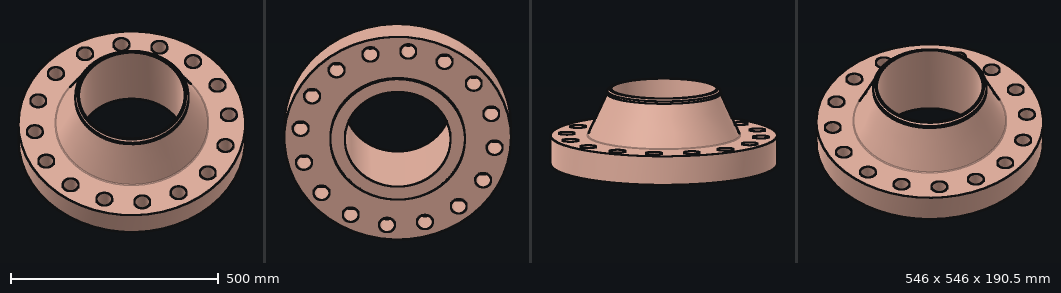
import cadquery as cq

flange_diameter = 546.0
flange_thickness = 70.5
raised_face_diameter = 324.5
raised_face_height = 6.0

overall_height = 190.5
hub_base_diameter = 367.0
hub_root_fillet = 3.0
neck_diameter = 273.0
neck_land_height = 6.0
bevel_height = 5.5
bevel_inset = 6.0

bore_diameter = 254.5
bolt_count = 16
bolt_circle_diameter = 469.5
bolt_hole_diameter = 38.0

flange_bottom = raised_face_height
flange_top = flange_bottom + flange_thickness
bevel_start = overall_height - bevel_height
hub_top = bevel_start - neck_land_height


def flange_body():
    """Solid of revolution: raised face, plate, tapered hub and bevelled neck."""
    face_radius = raised_face_diameter / 2
    flange_radius = flange_diameter / 2
    hub_radius = hub_base_diameter / 2
    neck_radius = neck_diameter / 2
    profile = (
        cq.Workplane("XZ")
        .polyline([
            (0, 0),
            (face_radius, 0),
            (face_radius, flange_bottom),
            (flange_radius, flange_bottom),
            (flange_radius, flange_top),
            (hub_radius, flange_top),
            (neck_radius, hub_top),
            (neck_radius, bevel_start),
            (neck_radius - bevel_inset, overall_height),
            (0, overall_height),
        ])
        .close()
    )
    return profile.revolve(360, (0, 0, 0), (0, 1, 0))


def round_hub_root(body):
    """Fillet the circle where the hub meets the top of the plate."""
    point_on_plate_top = (0, bolt_circle_diameter / 2, flange_top)
    plate_top = body.faces(cq.selectors.NearestToPointSelector(point_on_plate_top))
    hub_root = plate_top.edges(cq.selectors.RadiusNthSelector(0))
    return hub_root.fillet(hub_root_fillet)


def cut_bore(body):
    """Cut the central bore through the full height."""
    bore = cq.Workplane("XY").circle(bore_diameter / 2).extrude(overall_height)
    return body.cut(bore)


def cut_bolt_holes(body):
    """Cut the evenly spaced bolt holes through the plate, the first on +X."""
    holes = (
        cq.Workplane("XY", origin=(0, 0, flange_bottom))
        .polarArray(bolt_circle_diameter / 2, 0, 360, bolt_count)
        .circle(bolt_hole_diameter / 2)
        .extrude(flange_thickness)
    )
    return body.cut(holes)


blank = round_hub_root(flange_body())
result = cut_bolt_holes(cut_bore(blank))